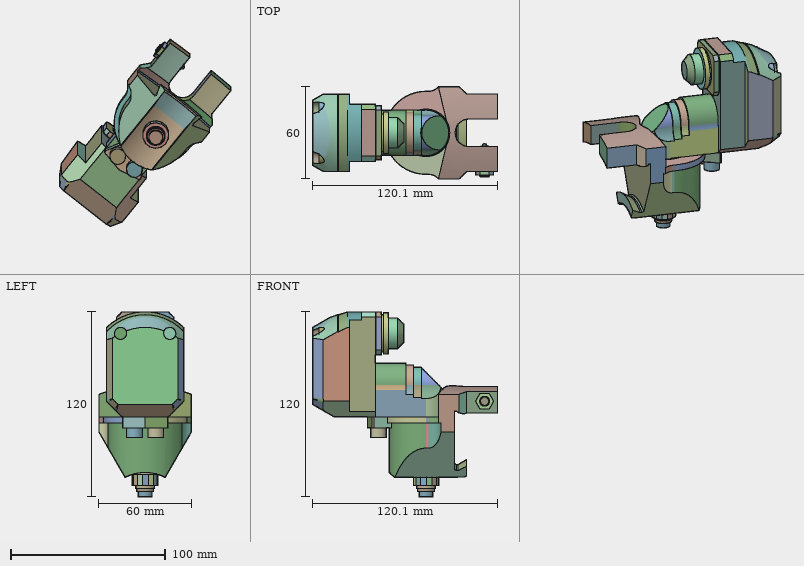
import cadquery as cq
import math


HOUSING_REAR_X = -73.6
FORK_END_X = 46.5

HOUSING_HALF_WIDTH = 25.15
HOUSING_SHOULDER_X = -49.6
HOUSING_FRONT_X = -32.85
NECK_HALF_WIDTH = 18.6
CROWN_AXIS_Z = 32.1
CROWN_RADIUS = 36.0
HOUSING_TOP_Z = CROWN_AXIS_Z + CROWN_RADIUS
CROWN_END_X = -51.1
CROWN_BAND_X = (-57.5, -56.8)
CROWN_BAND_RADIUS = 34.1
CROWN_REAR_RADIUS = 28.35
ARCH_HALF_ANGLE = 60.0
BOTTOM_CORNER = 10.1
BEVEL_ANGLE = 30.0
REAR_FACE_HALF_WIDTH = 21.15
REAR_FACE_BOTTOM_Z = 8.0
REAR_FACE_TOP_Z = 58.0
REAR_CORNER = 3.6
HEAD_REAR_X = -42.0
HEAD_CHAMFER = 3.5

SCREW_Y = 16.0
SCREW_Z = 54.2
SCREW_HOLE_RADIUS = 4.0
SCREW_HEAD_RADIUS = 3.8
SCREW_HEAD_X = -69.5
SCREW_HEAD_LENGTH = 10.0

COVER_GAP = 0.3
COVER_GAP_DEPTH = 0.3
COVER_FRONT_X = -29.0
COVER_HALF_WIDTH = 17.6
COVER_HEIGHT = 28.0
COVER_CHAMFER_Y = 2.7
COVER_CHAMFER_Z = 3.3
CONNECTOR_Z = HOUSING_TOP_Z - COVER_HEIGHT / 2
COLLAR_RADIUS = 12.2
COLLAR_END_X = -27.7
RING_RADIUS = 27.0 / 2
RING_END_X = -24.5
PLUG_RADIUS = 20.0 / 2
PLUG_CONE_X = -18.5
PLUG_TIP_RADIUS = 6.0
PLUG_TIP_X = -14.4

ARM_AXIS_Z = 20.55
ARM_HALF_WIDTH = 14.7
ARM_FLARE_RADIUS = 12.0
ARM_STEPS = ((HOUSING_FRONT_X, 14.2), (-13.0, 13.1), (-8.0, 11.7), (-2.9, 11.0))
ELBOW_SLOPE_X = -3.45
ELBOW_SLOPE_Z = ARM_AXIS_Z + ARM_STEPS[2][1]

BODY_RADIUS = 24.0
FLANGE_RADIUS = 27.0
FLANGE_THICKNESS = 4.1
BODY_HALF_WIDTH = 30.0
BODY_BOTTOM_Z = -39.2
THROAT_RADIUS = 8.3
THROAT_X = 1.7
SIDE_CUT_TOP_Z = -9.9
SIDE_CUT_ANGLE = 60.0

FORK_REAR_X = 8.0
FORK_REAR_TIP_X = 15.1
ELBOW_BORE_RADIUS = 15.4
ELBOW_SEAT_DEPTH = 0.5
FORK_SHOULDER_X = 21.4
FORK_ARM_X = 26.4
FORK_HALF_WIDTH = 25.2
SLOT_HALF_WIDTH = 8.85
SLOT_END_X = 18.9

SEAT_AXIS_Z = -63.3
FORK_TOP_RADIUS = 83.5
FORK_UNDER_RADIUS = 70.4
SEAT_FACE_X = 18.5
SEAT_GROOVE_X = 19.6
SEAT_UPPER_RADIUS = 73.3
SEAT_UPPER_LIP_X = 24.6
SEAT_LOWER_RADIUS = 32.4
SEAT_CORNER_RISE = 0.8
SEAT_LOWER_LIP_X = 20.7
LIP_RADIUS = 35.7
LIP_CHAMFER = 1.0
SADDLE_RADIUS = 27.2
SADDLE_FLARE = 0.4
SADDLE_FLARE_X = 13.8

COOLANT_DEPTH = 7.2
COOLANT_REAR_X = -38.1
COOLANT_CORNER_X = -35.0
COOLANT_SIDE_X = -33.8
COOLANT_HALF_WIDTH = 14.7
COOLANT_NOSE_X = -20.0
COOLANT_NOSE_HALF_WIDTH = 7.2
COOLANT_FLAT_INSET = 0.3
PIN_X = -30.9
PIN_Y = 6.9
PIN_RADIUS = 5.1
PIN_BOTTOM_Z = -13.5

NUT_SIDES = 14
NUT_RADIUS = 8.45
NUT_TURN = 14.6
NUT_TOP_Z = -37.4
NUT_NECK_RADIUS = 6.8
NUT_NECK_TOP_Z = -35.5
NUT_BOTTOM_Z = -44.6
NOSE_STEPS = ((6.1, -46.4), (5.55, -48.5), (4.5, -51.9))

JET_X = 38.0
JET_Z = 10.1
HEX_SIDES = 6
JET_HEX_FLATS = 10.2
JET_HEX_HEIGHT = 2.3
JET_COLLAR_RADIUS = 3.2
JET_COLLAR_HEIGHT = 3.3
JET_COLLAR_CHAMFER = 0.5
JET_SEAT_RADIUS = 2.5
JET_SEAT_HEIGHT = 0.4
JET_BALL_RADIUS = 3.0 / 2

FAR = 200.0


def rod_x(radius, x_from, x_to, y, z):
    return cq.Workplane("YZ", origin=(x_from, y, z)).circle(radius).extrude(x_to - x_from)


def rod_z(radius, z_from, z_to, x=0.0, y=0.0):
    return cq.Workplane("XY", origin=(x, y, z_from)).circle(radius).extrude(z_to - z_from)


def block(x_range, half_width, z_range):
    """Box symmetric about Y = 0."""
    size = (x_range[1] - x_range[0], 2 * half_width, z_range[1] - z_range[0])
    centre = (sum(x_range) / 2, 0, sum(z_range) / 2)
    return cq.Workplane("XY").box(*size).translate(centre)


def turned_about_x(points, axis_z):
    """Solid of revolution from (x, radius) points about an axis along X."""
    profile = cq.Workplane("XZ", origin=(0, 0, axis_z)).polyline(points).close()
    return profile.revolve(360, (0, 0, 0), (1, 0, 0))


def side_profile(points):
    """Prism across the whole width from (x, z) points."""
    return cq.Workplane("XZ").polyline(points).close().extrude(FAR, both=True)


def housing_prism(half_width, x_from, x_to):
    """Prism along X whose bottom corners are cut at 45 degrees."""
    flat = HOUSING_HALF_WIDTH - BOTTOM_CORNER
    corner_z = half_width - flat
    outline = [(-flat, 0), (flat, 0), (half_width, corner_z), (half_width, HOUSING_TOP_Z)]
    outline += [(-half_width, HOUSING_TOP_Z), (-half_width, corner_z)]
    return cq.Workplane("YZ", origin=(x_from, 0, 0)).polyline(outline).close().extrude(x_to - x_from)


def housing_bevels():
    """Tapered envelope that bevels the rear face along its sides, bottom and lower corners."""
    half = REAR_FACE_HALF_WIDTH
    low = REAR_FACE_BOTTOM_Z
    outline = [(-half + REAR_CORNER, low), (half - REAR_CORNER, low), (half, low + REAR_CORNER)]
    outline += [(half, FAR), (-half, FAR), (-half, low + REAR_CORNER)]
    length = HOUSING_SHOULDER_X - HOUSING_REAR_X
    rear_face = cq.Workplane("YZ", origin=(HOUSING_REAR_X, 0, 0)).polyline(outline).close()
    return rear_face.extrude(length, taper=-BEVEL_ANGLE)


def housing_crown():
    """Stepped cone over the housing top, filled down to the housing bottom."""
    points = [
        (HOUSING_REAR_X, 0),
        (HOUSING_REAR_X, CROWN_REAR_RADIUS),
        (CROWN_BAND_X[0], CROWN_BAND_RADIUS),
        (CROWN_BAND_X[1], CROWN_BAND_RADIUS),
        (CROWN_END_X, CROWN_RADIUS),
        (HEAD_REAR_X, CROWN_RADIUS),
        (HEAD_REAR_X, 0),
    ]
    below = block((HOUSING_REAR_X, HEAD_REAR_X), HOUSING_HALF_WIDTH, (0, CROWN_AXIS_Z))
    return turned_about_x(points, CROWN_AXIS_Z).union(below)


def crown_slope():
    """Envelope whose arched top rises from the rear face at the bevel angle."""
    length = HEAD_REAR_X - HOUSING_REAR_X
    half_angle = math.radians(ARCH_HALF_ANGLE)
    half = CROWN_RADIUS * math.sin(half_angle)
    spring_z = REAR_FACE_TOP_Z - CROWN_RADIUS * (1 - math.cos(half_angle))
    arch = (
        cq.Workplane("YZ", origin=(HOUSING_REAR_X, 0, 0))
        .moveTo(-half, -FAR)
        .lineTo(half, -FAR)
        .lineTo(half, spring_z)
        .threePointArc((0, REAR_FACE_TOP_Z), (-half, spring_z))
        .close()
    )
    face = cq.Face.makeFromWires(arch.val())
    rise = length * math.tan(math.radians(BEVEL_ANGLE))
    return cq.Workplane(cq.Solid.extrudeLinear(face, cq.Vector(length, 0, rise)))


def make_housing():
    rear = housing_prism(HOUSING_HALF_WIDTH, HOUSING_REAR_X, HOUSING_SHOULDER_X).intersect(housing_bevels())
    neck = housing_prism(NECK_HALF_WIDTH, HOUSING_SHOULDER_X, HEAD_REAR_X)
    shell = rear.union(neck).intersect(housing_crown()).intersect(crown_slope())
    head = housing_prism(NECK_HALF_WIDTH, HEAD_REAR_X, HOUSING_FRONT_X)
    head = head.edges("|X and >Z").chamfer(HEAD_CHAMFER)
    shell = shell.union(head)
    for y in (-SCREW_Y, SCREW_Y):
        hole = rod_x(SCREW_HOLE_RADIUS, HOUSING_REAR_X, SCREW_HEAD_X, y, SCREW_Z)
        screw = rod_x(SCREW_HEAD_RADIUS, SCREW_HEAD_X, SCREW_HEAD_X + SCREW_HEAD_LENGTH, y, SCREW_Z)
        shell = shell.cut(hole).union(screw)
    return shell


def cover_plate(x_from, x_to, inset):
    half_y = COVER_HALF_WIDTH - inset
    half_z = COVER_HEIGHT / 2 - inset
    flat_y = half_y - COVER_CHAMFER_Y
    flat_z = half_z - COVER_CHAMFER_Z
    outline = [(-flat_y, -half_z), (flat_y, -half_z), (half_y, -flat_z), (half_y, flat_z)]
    outline += [(flat_y, half_z), (-flat_y, half_z), (-half_y, flat_z), (-half_y, -flat_z)]
    plane = cq.Workplane("YZ", origin=(x_from, 0, CONNECTOR_Z))
    return plane.polyline(outline).close().extrude(x_to - x_from)


def make_connector():
    cover_x = HOUSING_FRONT_X + COVER_GAP
    spacer = cover_plate(HOUSING_FRONT_X, cover_x, COVER_GAP_DEPTH)
    cover = cover_plate(cover_x, COVER_FRONT_X, 0)
    points = [
        (cover_x, 0),
        (cover_x, COLLAR_RADIUS),
        (COLLAR_END_X, COLLAR_RADIUS),
        (COLLAR_END_X, RING_RADIUS),
        (RING_END_X, RING_RADIUS),
        (RING_END_X, PLUG_RADIUS),
        (PLUG_CONE_X, PLUG_RADIUS),
        (PLUG_TIP_X, PLUG_TIP_RADIUS),
        (PLUG_TIP_X, 0),
    ]
    return spacer.union(cover).union(turned_about_x(points, CONNECTOR_Z))


def arm_section(radius, x_from, x_to):
    """Round-topped length of the arm that flares out to the arm width below its axis."""
    flare = ARM_HALF_WIDTH - radius
    flare_angle = math.acos(1 - flare / ARM_FLARE_RADIUS)
    flare_end_z = -ARM_FLARE_RADIUS * math.sin(flare_angle)
    mid_y = radius + ARM_FLARE_RADIUS * (1 - math.cos(flare_angle / 2))
    mid_z = -ARM_FLARE_RADIUS * math.sin(flare_angle / 2)
    outline = (
        cq.Workplane("YZ", origin=(x_from, 0, ARM_AXIS_Z))
        .moveTo(-ARM_HALF_WIDTH, -ARM_AXIS_Z)
        .lineTo(ARM_HALF_WIDTH, -ARM_AXIS_Z)
        .lineTo(ARM_HALF_WIDTH, flare_end_z)
        .threePointArc((mid_y, mid_z), (radius, 0))
        .threePointArc((0, radius), (-radius, 0))
        .threePointArc((-mid_y, mid_z), (-ARM_HALF_WIDTH, flare_end_z))
        .close()
    )
    return outline.extrude(x_to - x_from)


def make_arm():
    ends = [step[0] for step in ARM_STEPS[1:]] + [ARM_HALF_WIDTH]
    arm = None
    for (x_from, radius), x_to in zip(ARM_STEPS, ends):
        length = arm_section(radius, x_from, x_to)
        arm = length if arm is None else arm.union(length)
    plan = block((HOUSING_FRONT_X, 0), ARM_HALF_WIDTH, (0, FAR))
    plan = plan.union(rod_z(ARM_HALF_WIDTH, 0, FAR))
    slope = [
        (ELBOW_SLOPE_X, ELBOW_SLOPE_Z),
        (ELBOW_SLOPE_X + FAR, ELBOW_SLOPE_Z - FAR),
        (ELBOW_SLOPE_X + FAR, ELBOW_SLOPE_Z),
    ]
    spigot = rod_z(ARM_HALF_WIDTH, -ELBOW_SEAT_DEPTH, 0)
    return arm.intersect(plan).cut(side_profile(slope)).union(spigot)


def base_layer(radius, z_from, z_to):
    """Layer round at the rear that widens through concave throats to the fork width."""
    throat_y = radius + THROAT_RADIUS
    end_angle = math.asin((BODY_HALF_WIDTH - throat_y) / THROAT_RADIUS)
    mid_angle = (end_angle - math.pi / 2) / 2
    end_x = THROAT_X + THROAT_RADIUS * math.cos(end_angle)
    mid_x = THROAT_X + THROAT_RADIUS * math.cos(mid_angle)
    mid_y = throat_y + THROAT_RADIUS * math.sin(mid_angle)
    outline = (
        cq.Workplane("XY", origin=(0, 0, z_from))
        .moveTo(0, -radius)
        .threePointArc((-radius, 0), (0, radius))
        .lineTo(THROAT_X, radius)
        .threePointArc((mid_x, mid_y), (end_x, BODY_HALF_WIDTH))
        .lineTo(FORK_SHOULDER_X, BODY_HALF_WIDTH)
        .lineTo(FORK_ARM_X, FORK_HALF_WIDTH)
        .lineTo(FORK_ARM_X, -FORK_HALF_WIDTH)
        .lineTo(FORK_SHOULDER_X, -BODY_HALF_WIDTH)
        .lineTo(end_x, -BODY_HALF_WIDTH)
        .threePointArc((mid_x, -mid_y), (THROAT_X, -radius))
        .close()
    )
    return outline.extrude(z_to - z_from)


def side_cut(side):
    """Wedge below one sloping lower side of the base; side is -1 or 1."""
    inward = FAR / math.tan(math.radians(SIDE_CUT_ANGLE))
    edge = side * BODY_HALF_WIDTH
    points = [
        (edge, SIDE_CUT_TOP_Z),
        (edge - side * inward, SIDE_CUT_TOP_Z - FAR),
        (edge + side * FAR, SIDE_CUT_TOP_Z - FAR),
        (edge + side * FAR, SIDE_CUT_TOP_Z),
    ]
    return cq.Workplane("YZ").polyline(points).close().extrude(FAR, both=True)


def make_base():
    base = base_layer(BODY_RADIUS, BODY_BOTTOM_Z, -FLANGE_THICKNESS)
    base = base.union(base_layer(FLANGE_RADIUS, -FLANGE_THICKNESS, 0))
    for side in (-1, 1):
        base = base.cut(side_cut(side))
    return base


def saddle_cut():
    """Turned hollow under the base, flared and chamfered below the lower lip."""
    flared = SADDLE_RADIUS + SADDLE_FLARE
    points = [
        (-BODY_RADIUS, 0),
        (-BODY_RADIUS, SADDLE_RADIUS),
        (SADDLE_FLARE_X, SADDLE_RADIUS),
        (FORK_ARM_X - LIP_CHAMFER, flared),
        (FORK_ARM_X, flared + LIP_CHAMFER),
        (FORK_ARM_X, 0),
    ]
    return turned_about_x(points, SEAT_AXIS_Z)


def make_fork():
    outline = [
        (FORK_REAR_TIP_X, 0),
        (FORK_REAR_X, BODY_HALF_WIDTH),
        (FORK_SHOULDER_X, BODY_HALF_WIDTH),
        (FORK_ARM_X, FORK_HALF_WIDTH),
        (FORK_END_X, FORK_HALF_WIDTH),
        (FORK_END_X, -FORK_HALF_WIDTH),
        (FORK_ARM_X, -FORK_HALF_WIDTH),
        (FORK_SHOULDER_X, -BODY_HALF_WIDTH),
        (FORK_REAR_X, -BODY_HALF_WIDTH),
    ]
    height = SEAT_AXIS_Z + FORK_TOP_RADIUS
    fork = cq.Workplane("XY").polyline(outline).close().extrude(height)
    fork = fork.intersect(rod_x(FORK_TOP_RADIUS, 0, FORK_END_X, 0, SEAT_AXIS_Z))
    slot_centre_x = SLOT_END_X + SLOT_HALF_WIDTH
    slot = block((slot_centre_x, FORK_END_X), SLOT_HALF_WIDTH, (0, height))
    slot = slot.union(rod_z(SLOT_HALF_WIDTH, 0, height, slot_centre_x))
    return fork.cut(slot)


def elbow_clearance():
    """Bore around the elbow, through the fork root and a little way into the flange."""
    return rod_z(ELBOW_BORE_RADIUS, -ELBOW_SEAT_DEPTH, FORK_TOP_RADIUS + SEAT_AXIS_Z)


def seat_cut():
    """Turned clearance between the fork and the lower lip, undercut behind both."""
    points = [
        (SEAT_FACE_X, SEAT_UPPER_RADIUS),
        (SEAT_GROOVE_X, SEAT_UPPER_RADIUS),
        (SEAT_UPPER_LIP_X, FORK_UNDER_RADIUS),
        (FORK_END_X, FORK_UNDER_RADIUS),
        (FORK_END_X, 0),
        (FORK_ARM_X, 0),
        (FORK_ARM_X, LIP_RADIUS),
        (SEAT_LOWER_LIP_X, SEAT_LOWER_RADIUS),
        (SEAT_GROOVE_X, SEAT_LOWER_RADIUS),
        (SEAT_FACE_X, SEAT_LOWER_RADIUS + SEAT_CORNER_RISE),
    ]
    return turned_about_x(points, SEAT_AXIS_Z)


def make_coolant_block():
    half = COOLANT_HALF_WIDTH
    flat = half - COOLANT_FLAT_INSET
    nose = COOLANT_NOSE_HALF_WIDTH
    outline = [
        (COOLANT_REAR_X, 0),
        (COOLANT_CORNER_X, flat),
        (COOLANT_SIDE_X, half),
        (COOLANT_NOSE_X, nose),
        (COOLANT_NOSE_X, -nose),
        (COOLANT_SIDE_X, -half),
        (COOLANT_CORNER_X, -flat),
    ]
    coolant = cq.Workplane("XY").polyline(outline).close().extrude(-COOLANT_DEPTH)
    for y in (-PIN_Y, PIN_Y):
        coolant = coolant.union(rod_z(PIN_RADIUS, -COOLANT_DEPTH, PIN_BOTTOM_Z, PIN_X, y))
    return coolant


def make_spindle_nose():
    nut = cq.Workplane("XY", origin=(0, 0, NUT_TOP_Z)).polygon(NUT_SIDES, 2 * NUT_RADIUS)
    nose = nut.extrude(NUT_BOTTOM_Z - NUT_TOP_Z).rotate((0, 0, 0), (0, 0, 1), NUT_TURN)
    nose = nose.union(rod_z(NUT_NECK_RADIUS, NUT_NECK_TOP_Z, NUT_TOP_Z))
    top = NUT_BOTTOM_Z
    for radius, bottom in NOSE_STEPS:
        nose = nose.union(rod_z(radius, top, bottom))
        top = bottom
    return nose


def make_jet():
    """Hex nut and collar outside one fork arm, with a ball tip on the arm's inner face."""
    outer = cq.Workplane("XZ", origin=(JET_X, -FORK_HALF_WIDTH, JET_Z))
    corners = JET_HEX_FLATS / math.cos(math.pi / HEX_SIDES)
    hexagon = outer.polygon(HEX_SIDES, corners).extrude(JET_HEX_HEIGHT)
    collar = outer.circle(JET_COLLAR_RADIUS).extrude(JET_COLLAR_HEIGHT)
    collar = collar.faces("<Y").edges().chamfer(JET_COLLAR_CHAMFER)
    inner = cq.Workplane("XZ", origin=(JET_X, -SLOT_HALF_WIDTH, JET_Z))
    seat = inner.circle(JET_SEAT_RADIUS).extrude(-JET_SEAT_HEIGHT)
    ball_y = JET_SEAT_HEIGHT - SLOT_HALF_WIDTH
    ball = cq.Workplane("XY").sphere(JET_BALL_RADIUS).translate((JET_X, ball_y, JET_Z))
    return hexagon.union(collar).union(seat).union(ball)


base_with_fork = make_base().union(make_fork()).cut(seat_cut()).cut(saddle_cut())
base_with_fork = base_with_fork.cut(elbow_clearance())
result = base_with_fork.union(make_arm()).union(make_housing()).union(make_connector())
result = result.union(make_coolant_block()).union(make_spindle_nose()).union(make_jet())